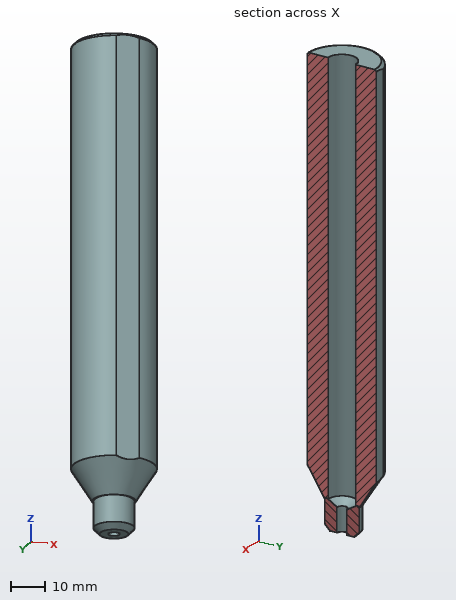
import cadquery as cq
import math

total_length = 150
handle_diameter = 25.0
across_flats = 24
top_chamfer = 1.0

tip_length = 10.0
taper_top_height = 20.0
taper_end_diameter = 12.6
tip_diameter = 12
tip_chamfer_width = 1.8
tip_chamfer_height = 1.8

bore_diameter = 9.5
outlet_diameter = 3.3
seat_angle = 118

handle_radius = handle_diameter / 2
bore_radius = bore_diameter / 2
outlet_radius = outlet_diameter / 2
seat_depth = (bore_radius - outlet_radius) / math.tan(math.radians(seat_angle / 2))


def revolve_profile(points):
    """Revolve a closed (radius, height) profile around the Z axis."""
    return cq.Workplane("XZ").polyline(points).close().revolve(360, (0, 0), (0, 1))


def make_handle():
    """Bored round handle with a tapered lower end and two opposite flats."""
    handle = revolve_profile([
        (bore_radius, tip_length),
        (taper_end_diameter / 2, tip_length),
        (handle_radius, taper_top_height),
        (handle_radius, total_length - top_chamfer),
        (handle_radius - top_chamfer, total_length),
        (bore_radius, total_length),
    ])
    flat_limits = cq.Workplane("XY").box(
        handle_diameter, across_flats, total_length, centered=(True, True, False)
    )
    return handle.intersect(flat_limits)


def make_tip():
    """Chamfered tip with a conical seat that funnels the bore into a small outlet."""
    tip_radius = tip_diameter / 2
    return revolve_profile([
        (outlet_radius, 0),
        (tip_radius - tip_chamfer_width, 0),
        (tip_radius, tip_chamfer_height),
        (tip_radius, tip_length),
        (bore_radius, tip_length),
        (outlet_radius, tip_length - seat_depth),
    ])


handle = make_handle()
tip = make_tip()

result = cq.Compound.makeCompound([handle.val(), tip.val()])